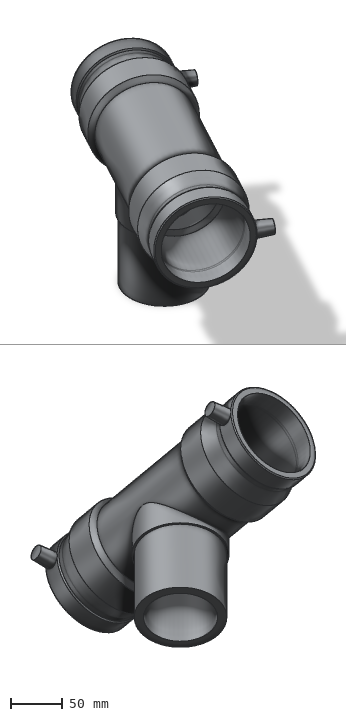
import cadquery as cq

length = 294.0
half_length = length / 2
run_diameter = 101.7
bore_diameter = 81.0

rim_diameter = 104.7
rim_chamfer = 1.2
rim_end = 19.0
neck_start = 20.5
neck_end = 26.0
bulge_diameter = 113.0
bulge_start = 43.5
bulge_end = 75.0
bulge_taper_end = 80.3

socket_diameter = 90.0
fusion_zone_diameter = 90.5
entry_end = 19.5
fusion_zone_start = 22.3
fusion_zone_end = 85.3
socket_taper_end = 89.7

branch_diameter = 90.0
branch_bore_diameter = 72.0
branch_bottom = -137.0
collar_diameter = 94.5
collar_bottom = -bulge_diameter / 2

post_inset = 10.3
post_tip_y = 71.1
post_base_y = rim_diameter / 2
post_root_y = (socket_diameter + rim_diameter) / 4
post_base_diameter = 18.2
post_tip_diameter = 16.0


def revolve_about_run(half_profile):
    """Mirror (distance from end, diameter) stations about X = 0 and revolve them."""
    left = [(-half_length + inset, diameter / 2) for inset, diameter in half_profile]
    right = [(-x, radius) for x, radius in reversed(left)]
    outline = [(-half_length, 0)] + left + right + [(half_length, 0)]
    return cq.Workplane("XY").polyline(outline).close().revolve(360, (0, 0, 0), (1, 0, 0))


def vertical_cylinder(diameter, bottom):
    """Cylinder on the branch axis, from the given level up to the run axis."""
    return cq.Workplane("XY").workplane(offset=bottom).circle(diameter / 2).extrude(-bottom)


def terminal_post(x):
    """Post tapering from the rim to its tip, with a plain root sunk into the rim wall."""
    outline = [
        (x, post_root_y),
        (x + post_base_diameter / 2, post_root_y),
        (x + post_base_diameter / 2, post_base_y),
        (x + post_tip_diameter / 2, post_tip_y),
        (x, post_tip_y),
    ]
    return cq.Workplane("XY").polyline(outline).close().revolve(360, (x, 0, 0), (x, 1, 0))


run_body = revolve_about_run([
    (0, rim_diameter - 2 * rim_chamfer),
    (rim_chamfer, rim_diameter),
    (rim_end, rim_diameter),
    (neck_start, run_diameter),
    (neck_end, run_diameter),
    (bulge_start, bulge_diameter),
    (bulge_end, bulge_diameter),
    (bulge_taper_end, run_diameter),
])

run_bore = revolve_about_run([
    (0, socket_diameter),
    (entry_end, socket_diameter),
    (fusion_zone_start, fusion_zone_diameter),
    (fusion_zone_end, fusion_zone_diameter),
    (socket_taper_end, bore_diameter),
])

collar = vertical_cylinder(collar_diameter, collar_bottom)
branch = vertical_cylinder(branch_diameter, branch_bottom)
branch_bore = vertical_cylinder(branch_bore_diameter, branch_bottom)

body = run_body.union(collar).union(branch)
for side in (-1, 1):
    body = body.union(terminal_post(side * (half_length - post_inset)))

result = body.cut(run_bore).cut(branch_bore)